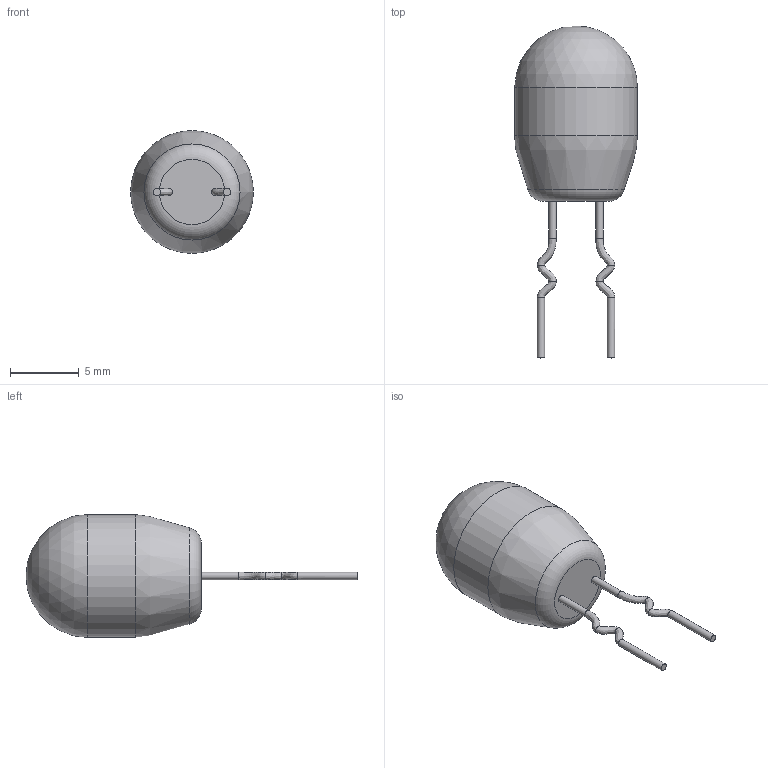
import math

import cadquery as cq

BODY_RADIUS = 4.45
BODY_LENGTH = 12.7
BAND_LENGTH = 3.5
SHOULDER_RADIUS = 3.48
SHOULDER_Y = 0.85
BASE_RADIUS = 2.36

LEAD_DIAMETER = 0.53
LEAD_END_Y = -11.36
ROOT_SPACING = 3.39
TIP_SPACING = 5.08
KINK_START_Y = -2.68
FIRST_CREST_Y = -4.63
CREST_PITCH = 1.165
ENTRY_HANDLE = 1.5
CREST_HANDLE = 0.52
LEAD_EMBED = 1.0


def make_body():
    band_top = BODY_LENGTH - BODY_RADIUS
    band_bottom = band_top - BAND_LENGTH
    dome_mid = BODY_RADIUS * math.sin(math.radians(45))

    edge_width = SHOULDER_RADIUS - BASE_RADIUS
    edge_radius = (edge_width**2 + SHOULDER_Y**2) / (2 * SHOULDER_Y)
    half_turn = math.atan2(SHOULDER_Y, edge_width)
    edge_mid = (
        BASE_RADIUS + edge_radius * math.sin(half_turn),
        edge_radius * (1 - math.cos(half_turn)),
    )

    profile = (
        cq.Workplane("XY")
        .lineTo(BASE_RADIUS, 0)
        .threePointArc(edge_mid, (SHOULDER_RADIUS, SHOULDER_Y))
        .spline(
            [(BODY_RADIUS, band_bottom)],
            tangents=[(math.cos(2 * half_turn), math.sin(2 * half_turn)), (0, 1)],
            includeCurrent=True,
        )
        .lineTo(BODY_RADIUS, band_top)
        .threePointArc((dome_mid, band_top + dome_mid), (0, BODY_LENGTH))
        .close()
    )
    return profile.revolve(360, (0, 0, 0), (0, 1, 0))


def sideways_bend(path, start, end, start_handle, end_handle):
    """Extend the path with an S-bend that is parallel to Y at both ends."""
    start_control = (start[0], start[1] - start_handle)
    end_control = (end[0], end[1] + end_handle)
    return path.bezier([start, start_control, end_control, end])


def make_lead(side):
    """Lead on the +X (side = 1) or -X (side = -1) half: bent out, back in, and out again."""
    root_x = side * ROOT_SPACING / 2
    tip_x = side * TIP_SPACING / 2
    kink_start = (root_x, KINK_START_Y)
    outer_crest = (tip_x, FIRST_CREST_Y)
    inner_crest = (root_x, FIRST_CREST_Y - CREST_PITCH)
    kink_end = (tip_x, FIRST_CREST_Y - 2 * CREST_PITCH)

    path = cq.Workplane("XY").moveTo(root_x, LEAD_EMBED).lineTo(*kink_start)
    path = sideways_bend(path, kink_start, outer_crest, ENTRY_HANDLE, CREST_HANDLE)
    path = sideways_bend(path, outer_crest, inner_crest, CREST_HANDLE, CREST_HANDLE)
    path = sideways_bend(path, inner_crest, kink_end, CREST_HANDLE, CREST_HANDLE)
    path = path.lineTo(tip_x, LEAD_END_Y)

    section = cq.Workplane("XZ", origin=(root_x, LEAD_EMBED, 0)).circle(LEAD_DIAMETER / 2)
    return section.sweep(path)


result = make_body()
for lead_side in (-1, 1):
    result = result.union(make_lead(lead_side))